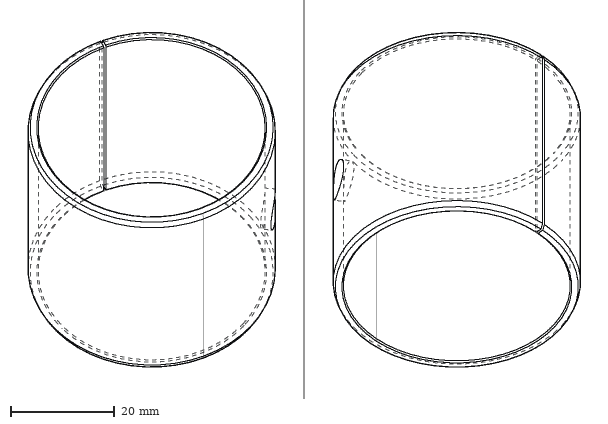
import cadquery as cq

outer_diameter = 48
bore_diameter = 44.0
length = 45.0

outer_chamfer_height = 1.2
outer_chamfer_width = 0.45
bore_chamfer = 0.3

slit_width = 0.5
slit_offset = slit_width / 2

oil_hole_diameter = 8.0
oil_hole_angle = 59.3

outer_radius = outer_diameter / 2
bore_radius = bore_diameter / 2


def make_sleeve():
    """Revolve the chamfered wall section about Z, centred on the origin."""
    half_length = length / 2
    section = [
        (bore_radius + bore_chamfer, -half_length),
        (outer_radius - outer_chamfer_width, -half_length),
        (outer_radius, -half_length + outer_chamfer_height),
        (outer_radius, half_length - outer_chamfer_height),
        (outer_radius - outer_chamfer_width, half_length),
        (bore_radius + bore_chamfer, half_length),
        (bore_radius, half_length - bore_chamfer),
        (bore_radius, -half_length + bore_chamfer),
    ]
    return cq.Workplane("XZ").polyline(section).close().revolve(360, (0, 0), (0, 1))


def make_slit():
    """Full-length slab that splits one side of the wall."""
    return (
        cq.Workplane("XY")
        .box(outer_diameter, slit_width, length)
        .translate((-outer_radius, slit_offset, 0))
    )


def make_oil_hole():
    """Radial cylinder at mid-length through one side of the wall."""
    return (
        cq.Workplane("YZ")
        .circle(oil_hole_diameter / 2)
        .extrude(outer_diameter)
        .rotate((0, 0, 0), (0, 0, 1), oil_hole_angle)
    )


result = make_sleeve().cut(make_slit()).cut(make_oil_hole())